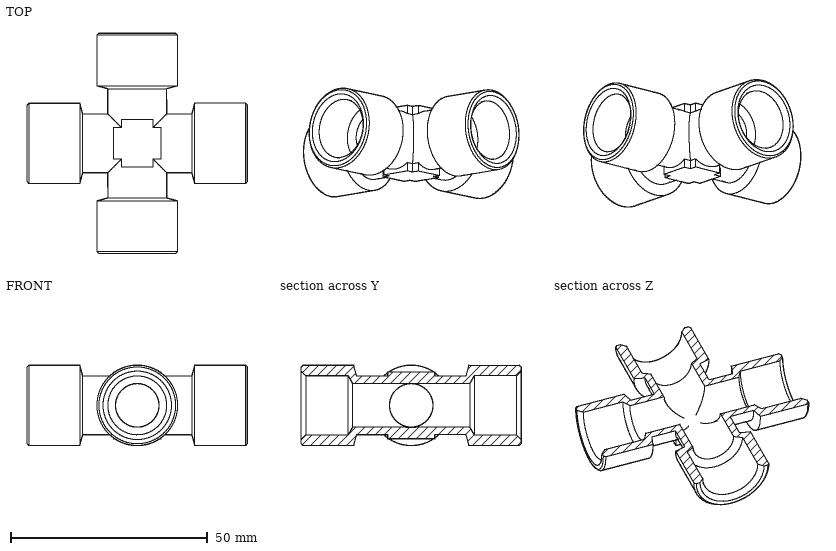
import cadquery as cq
import math

SPAN = 56.0
ARM_LENGTH = SPAN / 2
ARM_ANGLES = (0, 90, 180, 270)

NECK_DIAMETER = 15.0
COLLAR_DIAMETER = 20.5
COLLAR_LENGTH = 14.15
RIM_CHAMFER = 0.5
SHOULDER_ANGLE = 15.0

PASSAGE_DIAMETER = 11.0
SOCKET_DIAMETER = 14.95
SOCKET_DEPTH = 12.0
SOCKET_FLOOR_ANGLE = 30.0
MOUTH_DIAMETER = 17.4
MOUTH_ANGLE = 45.0

PAD_LENGTH = 12.0
PAD_WIDTH = 8.0
PAD_HEIGHT = 17.0


def revolve_about_x(points):
    """Revolve a closed outline of (x, radius) points about the X axis."""
    return cq.Workplane("XY").polyline(points).close().revolve(360, (0, 0, 0), (1, 0, 0))


def arm_body():
    """Solid arm along +X: a neck that widens into a chamfered collar."""
    neck_radius = NECK_DIAMETER / 2
    collar_radius = COLLAR_DIAMETER / 2
    shoulder_start = ARM_LENGTH - COLLAR_LENGTH
    shoulder_length = (collar_radius - neck_radius) * math.tan(math.radians(SHOULDER_ANGLE))
    return revolve_about_x([
        (0, 0),
        (0, neck_radius),
        (shoulder_start, neck_radius),
        (shoulder_start + shoulder_length, collar_radius),
        (ARM_LENGTH - RIM_CHAMFER, collar_radius),
        (ARM_LENGTH, collar_radius - RIM_CHAMFER),
        (ARM_LENGTH, 0),
    ])


def arm_bore():
    """Void along +X: passage, conical floor, socket and countersunk mouth."""
    passage_radius = PASSAGE_DIAMETER / 2
    socket_radius = SOCKET_DIAMETER / 2
    mouth_radius = MOUTH_DIAMETER / 2
    mouth_depth = (mouth_radius - socket_radius) / math.tan(math.radians(MOUTH_ANGLE))
    floor_start = ARM_LENGTH - SOCKET_DEPTH
    floor_length = (socket_radius - passage_radius) * math.tan(math.radians(SOCKET_FLOOR_ANGLE))
    return revolve_about_x([
        (0, 0),
        (0, passage_radius),
        (floor_start - floor_length, passage_radius),
        (floor_start, socket_radius),
        (ARM_LENGTH - mouth_depth, socket_radius),
        (ARM_LENGTH, mouth_radius),
        (ARM_LENGTH, 0),
    ])


def centre_pad():
    """Plus-shaped block whose ends stand out above and below the necks."""
    along_x = cq.Workplane("XY").box(PAD_LENGTH, PAD_WIDTH, PAD_HEIGHT)
    along_y = cq.Workplane("XY").box(PAD_WIDTH, PAD_LENGTH, PAD_HEIGHT)
    return along_x.union(along_y)


def turn(shape, angle):
    """Turn a shape about the Z axis."""
    return shape.rotate((0, 0, 0), (0, 0, 1), angle)


body = centre_pad()
for arm_angle in ARM_ANGLES:
    body = body.union(turn(arm_body(), arm_angle))
for arm_angle in ARM_ANGLES:
    body = body.cut(turn(arm_bore(), arm_angle))

result = body